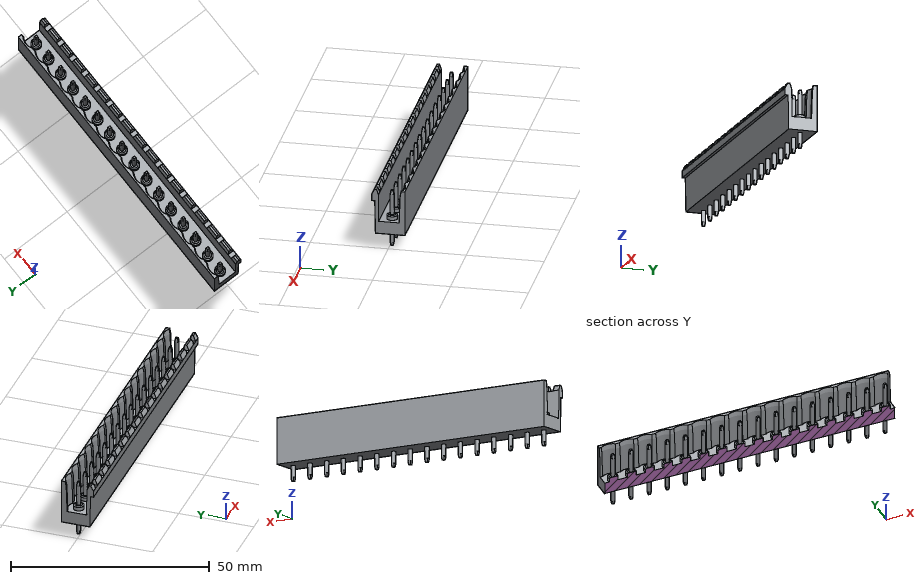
import cadquery as cq

length = 80.0
pin_count = 16
pitch = length / pin_count

back_y = 3.8
base_front_y = -3.8
wall_front_y = -4.0
lip_front_y = -4.8
housing_height = 12.0
floor_z = 3.4
lip_bottom_z = 8.9
bevel_z = 10.6

front_inner_y = -3.0
ridge_y = 2.2
wall_draft = 0.2
front_draft = 0.1
top_flare = 0.52
crest_inner_y = -3.5
crest_outer_y = -4.1

scallop_y = -0.2
scallop_radius = 3.0

notch_bottom_width = 1.3
notch_top_width = 1.8

pin_width = 1.0
pin_tip_width = 0.6
pin_edge_radius = 0.2
pin_top_z = 11.1
pin_bottom_z = -4.0
pin_taper = 1.0
collar_radius = 1.4
collar_top_z = 4.6
collar_chamfer_height = 0.2
collar_chamfer_width = 0.4

pin_points = [((i + 0.5) * pitch - length / 2, 0) for i in range(pin_count)]


def make_housing():
    """U-shaped section with a bevelled lip along the front wall."""
    section = [
        (back_y, 0),
        (back_y, housing_height),
        (ridge_y + top_flare, housing_height),
        (ridge_y + wall_draft, bevel_z),
        (ridge_y, floor_z),
        (front_inner_y, floor_z),
        (front_inner_y - front_draft, bevel_z),
        (crest_inner_y, housing_height),
        (crest_outer_y, housing_height),
        (lip_front_y, bevel_z),
        (lip_front_y, lip_bottom_z),
        (wall_front_y, lip_bottom_z),
        (base_front_y, 0),
    ]
    return cq.Workplane("YZ").polyline(section).close().extrude(length / 2, both=True)


def make_scallop():
    """Half-cone cutter that widens with the wall draft and then the top bevel."""
    section = [
        (0, floor_z),
        (scallop_radius, floor_z),
        (scallop_radius + wall_draft, bevel_z),
        (scallop_radius + top_flare, housing_height),
        (0, housing_height),
    ]
    cutter = cq.Workplane("XZ").polyline(section).close().revolve(180, (0, 0), (0, 1))
    return cutter.translate((0, scallop_y, 0))


def make_notch():
    """Trapezoidal cutter across the top of the front wall."""
    section = [
        (-notch_bottom_width / 2, bevel_z),
        (notch_bottom_width / 2, bevel_z),
        (notch_top_width / 2, housing_height),
        (-notch_top_width / 2, housing_height),
    ]
    cutter = cq.Workplane("XZ").polyline(section).close().extrude(front_inner_y - lip_front_y)
    return cutter.translate((0, front_inner_y, 0))


def make_pin():
    """Square pin with rounded edges, pyramid tips and a chamfered collar on the channel floor."""
    half_width = pin_width / 2
    half_tip = pin_tip_width / 2
    section = [
        (-half_tip, pin_bottom_z),
        (half_tip, pin_bottom_z),
        (half_width, pin_bottom_z + pin_taper),
        (half_width, pin_top_z - pin_taper),
        (half_tip, pin_top_z),
        (-half_tip, pin_top_z),
        (-half_width, pin_top_z - pin_taper),
        (-half_width, pin_bottom_z + pin_taper),
    ]
    pin = cq.Workplane("XY").workplane(offset=pin_bottom_z).rect(pin_width, pin_width)
    pin = pin.extrude(pin_top_z - pin_bottom_z).edges("|Z").fillet(pin_edge_radius)
    for plane in ("XZ", "YZ"):
        tapered_bar = cq.Workplane(plane).polyline(section).close().extrude(pin_width, both=True)
        pin = pin.intersect(tapered_bar)

    collar = cq.Workplane("XY").workplane(offset=floor_z).circle(collar_radius)
    collar = collar.extrude(collar_top_z - floor_z)
    collar = collar.faces(">Z").chamfer(collar_chamfer_height, collar_chamfer_width)
    return pin.union(collar)


def repeat(shape):
    """Copies of a shape at every pin position."""
    solid = shape.val()
    return cq.Workplane("XY").pushPoints(pin_points).eachpoint(
        lambda location: solid.moved(location), combine=False)


result = make_housing()
for feature in (make_scallop(), make_notch()):
    result = result.cut(repeat(feature))
result = result.union(repeat(make_pin()))